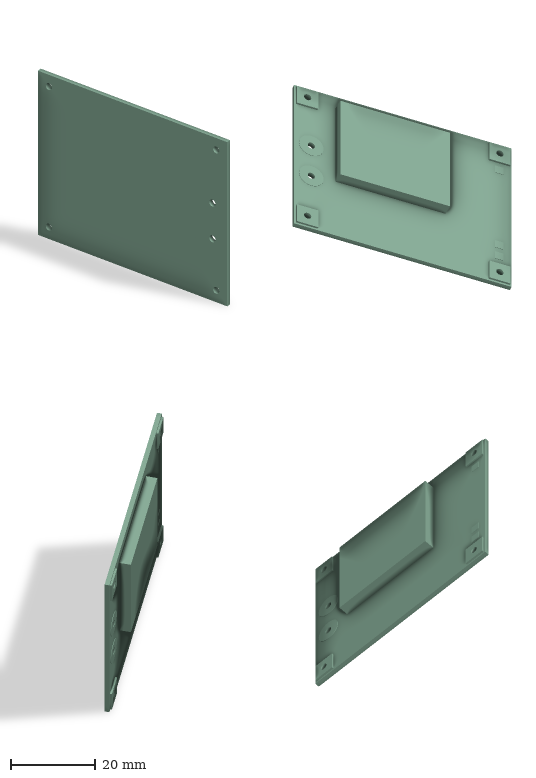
import cadquery as cq

board_width = 56
board_height = 45.0
overall_depth = 4.0
board_thickness = 1.2

hole_diameter = 1.85
corner_hole_inset = 3.25
corner_hole_x = board_width / 2 - corner_hole_inset
corner_hole_z = board_height / 2 - corner_hole_inset
corner_holes = [(sx * corner_hole_x, sz * corner_hole_z) for sx in (-1, 1) for sz in (-1, 1)]

landing_size = 5.5
landing_height = 0.5

side_hole_x = 23.65
side_hole_spacing = 9.8
side_hole_middle_z = -0.6
side_holes = [(side_hole_x, side_hole_middle_z + s * side_hole_spacing / 2) for s in (-1, 1)]
ring_diameter = 6.3
thin_height = 0.1

block_width = 28.3
block_height = 23.9
block_center = (3.2, 6.95)
block_depth = overall_depth - board_thickness

contact_size = 2.25
contacts = [(-corner_hole_x, z) for z in (14.2, -10.1, -13.65)]


def board_plane(y):
    """Work plane parallel to the board at the given Y; its local axes are X and Z."""
    return cq.Workplane("XZ", origin=(0, y, 0))


def boxes(centers, width, height, start_y, depth):
    """Boxes centred on (x, z) points, reaching from start_y towards +Y."""
    return board_plane(start_y).pushPoints(centers).rect(width, height).extrude(-depth)


def cylinders(centers, diameter, start_y, depth):
    """Cylinders centred on (x, z) points, reaching from start_y towards +Y."""
    return board_plane(start_y).pushPoints(centers).circle(diameter / 2).extrude(-depth)


board = boxes([(0, 0)], board_width, board_height, 0, board_thickness)
block = boxes([block_center], block_width, block_height, board_thickness, block_depth)
landings = boxes(corner_holes, landing_size, landing_size, board_thickness, landing_height)
contact_pads = boxes(contacts, contact_size, contact_size, board_thickness, thin_height)
rings = cylinders(side_holes, ring_diameter, board_thickness, thin_height)
holes = cylinders(corner_holes + side_holes, hole_diameter, 0, overall_depth)

result = board.union(landings).union(contact_pads).union(rings).cut(holes).union(block)